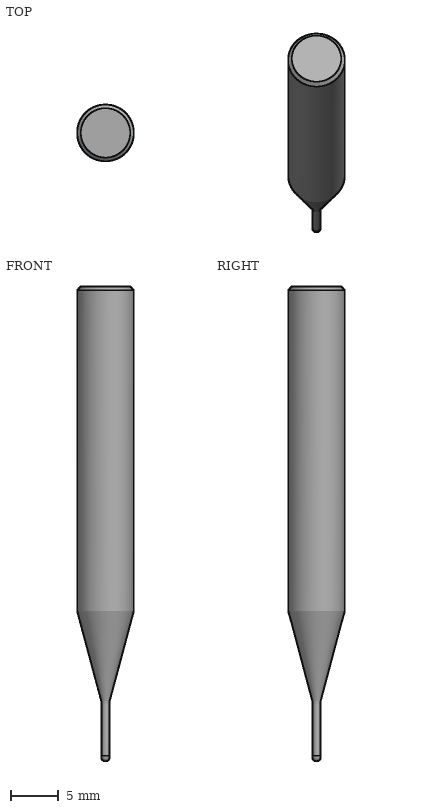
import cadquery as cq
import math

total_length = 50.0
shank_radius = 3.0
end_chamfer = 0.4

shank_bottom = 15.85
cone_bottom = 6.35
neck_top = 6.05

neck_radius = 0.425
head_radius = 0.45
head_top = 0.6


def make_shank():
    """Chamfered shank, taper, short blend cone and slim neck as one revolved body."""
    blend_radius = head_radius
    return (
        cq.Workplane("XZ")
        .moveTo(0, head_top)
        .lineTo(neck_radius, head_top)
        .lineTo(neck_radius, neck_top)
        .lineTo(blend_radius, cone_bottom)
        .lineTo(shank_radius, shank_bottom)
        .lineTo(shank_radius, total_length - end_chamfer)
        .lineTo(shank_radius - end_chamfer, total_length)
        .lineTo(0, total_length)
        .close()
        .revolve(360, (0, 0, 0), (0, 1, 0))
    )


def make_cutting_head():
    """Short cylinder ending in a hemisphere, seated against the end of the neck."""
    arc_middle = head_radius * math.sin(math.radians(45))
    return (
        cq.Workplane("XZ")
        .moveTo(0, 0)
        .threePointArc((arc_middle, head_radius - arc_middle), (head_radius, head_radius))
        .lineTo(head_radius, head_top)
        .lineTo(0, head_top)
        .close()
        .revolve(360, (0, 0, 0), (0, 1, 0))
    )


shank = make_shank()
cutting_head = make_cutting_head()

result = cq.Compound.makeCompound([shank.val(), cutting_head.val()])